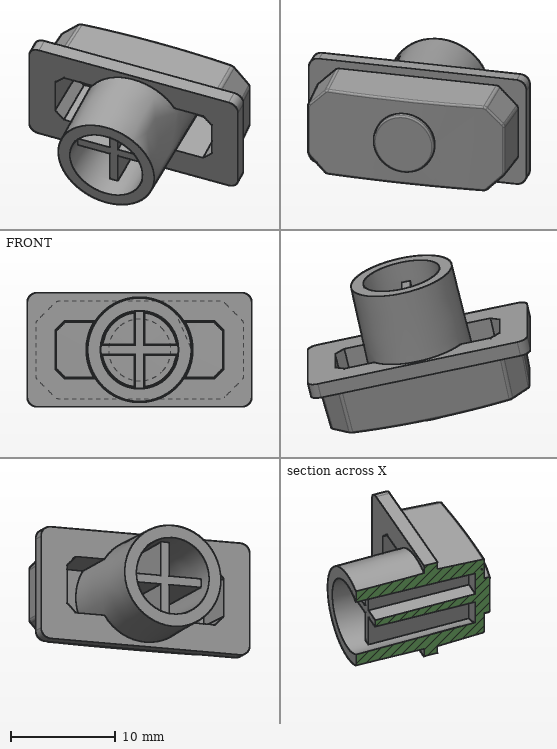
import cadquery as cq


flange_length = 21.6
flange_height = 11.0
flange_thickness = 1.43
flange_corner_radius = 1.0

housing_length = 19.95
housing_height = 9.37
housing_corner_cut = 1.99
housing_corner_radius = 0.52
housing_draft = 2.8
housing_edge_radius = 0.22
crown_y = 6.35
crown_radius = 95.05

button_radius = 2.98
button_edge_radius = 0.17
button_back_y = 6.91

tube_length = 7.08
tube_end_radius = 4.97
bore_end_radius = 3.75
tube_draft = 0.75

window_length = 16.2
window_height = 5.53
window_corner_cut = 0.9
window_draft = 1.2
back_wall = 1.0

rib_thickness = 0.85
rib_recess = 2.0
rib_draft = 0.5


def plane_at(y):
    """Sketch plane at the given y, extruding toward +Y."""
    return cq.Workplane(cq.Plane(origin=(0, y, 0), xDir=(1, 0, 0), normal=(0, 1, 0)))


def cut_corner_block(y, length, height, corner_cut, depth, draft):
    """Tapered block whose rectangular outline has four 45 degree corners."""
    x = length / 2
    z = height / 2
    outline = [
        (x, z - corner_cut), (x - corner_cut, z),
        (corner_cut - x, z), (-x, z - corner_cut),
        (-x, corner_cut - z), (corner_cut - x, -z),
        (x - corner_cut, -z), (x, corner_cut - z),
    ]
    return plane_at(y).polyline(outline).close().extrude(depth, taper=draft)


def crown_cylinder(back_y):
    """Large cylinder along Z whose back surface peaks at back_y."""
    center_y = back_y - crown_radius
    return (
        cq.Workplane("XY", origin=(0, center_y, -flange_height))
        .circle(crown_radius)
        .extrude(2 * flange_height)
    )


def tube_cone(end_radius, start_y, depth, draft):
    """Cone toward +Y that widens by the draft angle, or narrows if it is negative."""
    return plane_at(start_y).circle(end_radius).extrude(depth, taper=-draft)


def make_flange():
    plate = plane_at(0).rect(flange_length, flange_height).extrude(flange_thickness)
    return plate.edges("|Y").fillet(flange_corner_radius)


def make_housing():
    block = cut_corner_block(
        flange_thickness, housing_length, housing_height, housing_corner_cut,
        button_back_y - flange_thickness, housing_draft,
    )
    block = block.edges("not(#Y)").fillet(housing_corner_radius)
    block = block.intersect(crown_cylinder(crown_y))
    return block.faces(">Y").edges().fillet(housing_edge_radius)


def make_button():
    base_y = crown_y - back_wall / 2
    disc = plane_at(base_y).circle(button_radius).extrude(button_back_y - base_y)
    return disc.faces(">Y").edges().fillet(button_edge_radius)


def make_ribs(start_y, depth):
    bar_length = 2 * bore_end_radius + rib_thickness
    level = plane_at(start_y).rect(bar_length, rib_thickness).extrude(depth, taper=-rib_draft)
    upright = plane_at(start_y).rect(rib_thickness, bar_length).extrude(depth, taper=-rib_draft)
    return level.union(upright)


interior_limit = crown_cylinder(crown_y - back_wall)
tube_depth = tube_length + crown_y - back_wall / 2
tube_outside = tube_cone(tube_end_radius, -tube_length, tube_depth, tube_draft)
bore = tube_cone(bore_end_radius, -tube_length, tube_depth, -tube_draft)

window = cut_corner_block(
    0, window_length, window_height, window_corner_cut, crown_y, window_draft
)
pockets = window.intersect(interior_limit).cut(tube_outside)

ribs = make_ribs(rib_recess - tube_length, tube_depth - rib_recess)
wells = bore.intersect(interior_limit).cut(ribs)

tube = tube_cone(tube_end_radius, -tube_length, tube_length, tube_draft)
result = (
    make_flange()
    .union(make_housing())
    .union(tube)
    .union(make_button())
    .cut(pockets)
    .cut(wells)
)